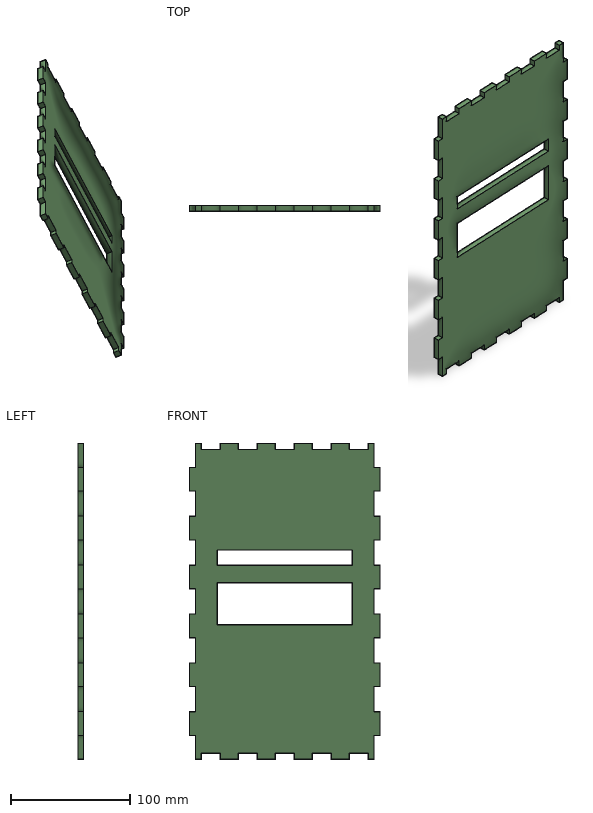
import cadquery as cq

side_tab_count = 6
side_tab_length = 20.0
side_gap_length = 21.0
side_end_run = 20.0

end_notch_count = 5
end_notch_length = 15.75
corner_width = 5.0

width = 160.0
joint_depth = 5.0
thickness = 5.0

window_width = 113.0
lower_window_bottom = 113.0
lower_window_height = 35.0
upper_window_bottom = 163.0
upper_window_height = 12.5

side_pitch = side_tab_length + side_gap_length
height = 2 * side_end_run + side_tab_count * side_pitch - side_gap_length
body_width = width - 2 * joint_depth
end_pitch = (body_width - 2 * corner_width - end_notch_length) / (end_notch_count - 1)


def block(size_x, size_z, center_x, bottom_z):
    """Full-thickness block; bottom_z is its height above the bottom edge of the panel."""
    blank = cq.Workplane("XY").box(size_x, thickness, size_z, centered=(True, True, False))
    return blank.translate((center_x, 0, bottom_z - height / 2))


def add_side_tabs(panel):
    """Each full-width block forms one tab on the left side and one on the right."""
    for index in range(side_tab_count):
        bottom_z = side_end_run + index * side_pitch
        panel = panel.union(block(width, side_tab_length, 0, bottom_z))
    return panel


def cut_end_notches(panel):
    """Cut matching rows of notches into the bottom and top edges."""
    for index in range(end_notch_count):
        center_x = (index - (end_notch_count - 1) / 2) * end_pitch
        for bottom_z in (0, height - joint_depth):
            panel = panel.cut(block(end_notch_length, joint_depth, center_x, bottom_z))
    return panel


def cut_windows(panel):
    """Cut two rectangular through openings, one above the other."""
    panel = panel.cut(block(window_width, lower_window_height, 0, lower_window_bottom))
    return panel.cut(block(window_width, upper_window_height, 0, upper_window_bottom))


body = block(body_width, height, 0, 0)
tabbed_panel = add_side_tabs(body)
notched_panel = cut_end_notches(tabbed_panel)
result = cut_windows(notched_panel)